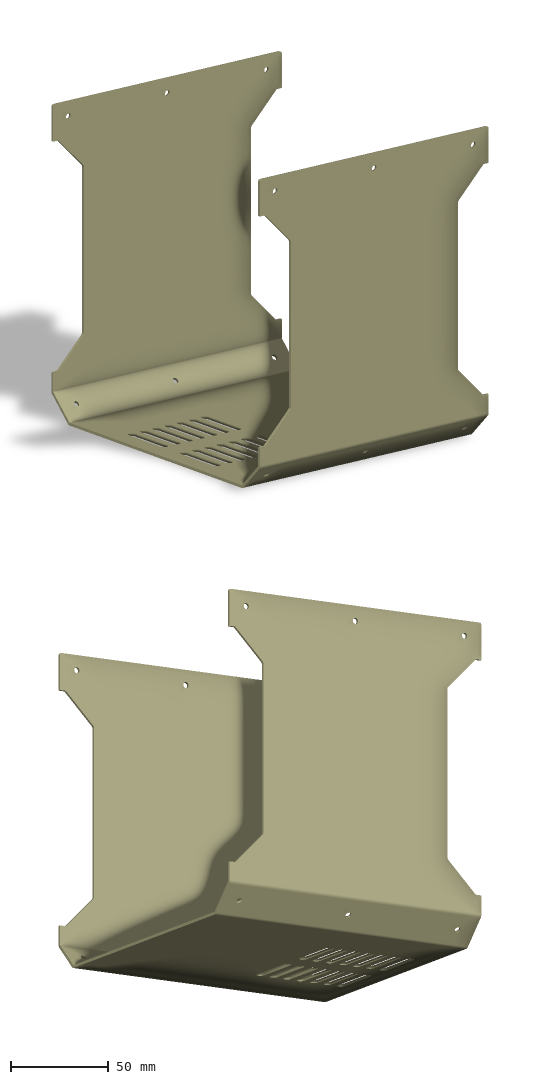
import cadquery as cq
import math

WIDTH = 170.0
DEPTH = 150.0
HEIGHT = 168.0
THICKNESS = 1.5
BEND_ANGLE = math.radians(45)
FLANGE_LEG = 14.1
INNER_BEND_RADIUS = 0.8
OUTER_BEND_RADIUS = INNER_BEND_RADIUS + THICKNESS

HOLE_DIAMETER = 3.0
HOLE_END_MARGIN = 10.0
HOLE_TOP_MARGIN = 8.0
HOLE_POSITIONS_Y = (HOLE_END_MARGIN - DEPTH / 2, 0, DEPTH / 2 - HOLE_END_MARGIN)

WAIST_DEPTH = 20.2
EAR_LEDGE = 3.4
SLANT_HEIGHT = 16.8
WAIST_CORNER_RADIUS = 2.0
UPPER_EAR_HEIGHT = 19.5
LOWER_EAR_TOP = 25.0
WALL_CORNER_RADIUS = 1.0

SLOT_LENGTH = 30.6
SLOT_WIDTH = 4.0
SLOT_COLUMN_SPACING = 42.5
SLOT_PITCH = 8.0
SLOT_ROWS = 7
FIRST_SLOT_MARGIN = 12.0


def bent_section(inset, bend_radius):
    """Solid block with the outline of the cover, offset inwards from its outer skin."""
    side = WIDTH / 2 - inset
    corner = FLANGE_LEG + inset * math.tan(BEND_ANGLE / 2)
    floor_end = WIDTH / 2 - corner
    outline = [
        (-side, HEIGHT),
        (-side, corner),
        (-floor_end, inset),
        (floor_end, inset),
        (side, corner),
        (side, HEIGHT),
    ]
    block = cq.Workplane("XZ").polyline(outline).close().extrude(DEPTH / 2, both=True)
    below_walls = cq.selectors.BoxSelector((-WIDTH, -DEPTH, -THICKNESS), (WIDTH, DEPTH, HEIGHT / 2))
    return block.edges("|Y").edges(below_walls).fillet(bend_radius)


def waist_cutter(end):
    """Notch through both walls at the front (end = -1) or back (end = 1)."""
    edge = DEPTH / 2
    ledge = edge - EAR_LEDGE
    waist = edge - WAIST_DEPTH
    top = HEIGHT - UPPER_EAR_HEIGHT
    outline = [
        (edge, LOWER_EAR_TOP),
        (ledge, LOWER_EAR_TOP),
        (waist, LOWER_EAR_TOP + SLANT_HEIGHT),
        (waist, top - SLANT_HEIGHT),
        (ledge, top),
        (edge, top),
    ]
    points = [(end * y, z) for y, z in outline]
    notch = cq.Workplane("YZ").polyline(points).close().extrude(WIDTH, both=True)
    waist_face = "<Y" if end > 0 else ">Y"
    return notch.faces(waist_face).edges("|X").fillet(WAIST_CORNER_RADIUS)


def wall_holes():
    centres = [(y, HEIGHT - HOLE_TOP_MARGIN) for y in HOLE_POSITIONS_Y]
    return cq.Workplane("YZ").pushPoints(centres).circle(HOLE_DIAMETER / 2).extrude(WIDTH, both=True)


def flange_holes(side):
    """Holes square to the flange, centred on its slope; side is -1 or 1."""
    middle_x = side * (WIDTH - FLANGE_LEG) / 2
    slope = cq.Plane(
        origin=(middle_x, 0, FLANGE_LEG / 2),
        xDir=(0, 1, 0),
        normal=(-side, 0, 1),
    )
    centres = [(y, 0) for y in HOLE_POSITIONS_Y]
    return (
        cq.Workplane(slope)
        .pushPoints(centres)
        .circle(HOLE_DIAMETER / 2)
        .extrude(2 * THICKNESS, both=True)
    )


def ventilation_slots():
    first_row = FIRST_SLOT_MARGIN - DEPTH / 2
    centres = [
        (column * SLOT_COLUMN_SPACING / 2, first_row + row * SLOT_PITCH)
        for column in (-1, 1)
        for row in range(SLOT_ROWS)
    ]
    return (
        cq.Workplane("XY")
        .pushPoints(centres)
        .slot2D(SLOT_LENGTH, SLOT_WIDTH)
        .extrude(2 * THICKNESS, both=True)
    )


cover = bent_section(0, OUTER_BEND_RADIUS).cut(bent_section(THICKNESS, INNER_BEND_RADIUS))

cover = cover.faces(">Z").edges("|X").fillet(WALL_CORNER_RADIUS)

for sign in (-1, 1):
    cover = cover.cut(waist_cutter(sign))
    cover = cover.cut(flange_holes(sign))

result = cover.cut(wall_holes()).cut(ventilation_slots())